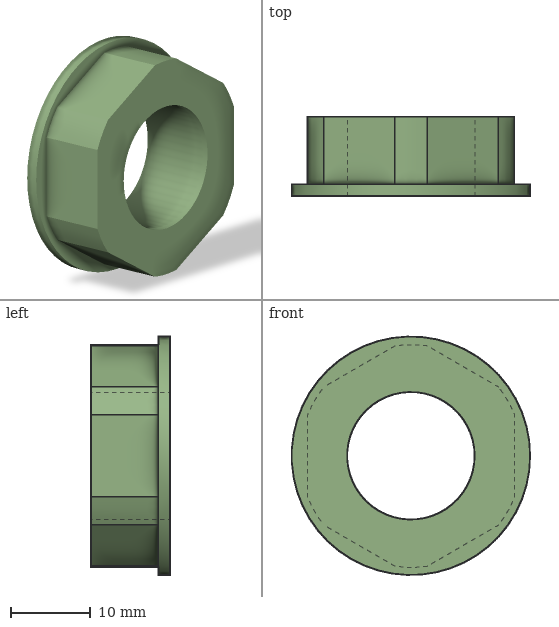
import cadquery as cq
import math

flange_diameter = 30.0
flange_thickness = 1.5
total_length = 10.0
bore_diameter = 16.0
hex_across_flats = 26.0
hex_corner_diameter = 28.0

body_length = total_length - flange_thickness
hex_sharp_diameter = hex_across_flats / math.cos(math.radians(30))
turn_to_vertical = 90


def plane_at(y):
    """Sketch plane across the part axis; negative extrusion runs toward +Y."""
    return cq.Workplane("XZ", origin=(0, y, 0))


def make_flange():
    return plane_at(0).circle(flange_diameter / 2).extrude(-flange_thickness)


def make_hex_body():
    hexagon = plane_at(flange_thickness).polygon(6, hex_sharp_diameter).extrude(-body_length)
    hexagon = hexagon.rotate((0, 0, 0), (0, 1, 0), turn_to_vertical)
    turned_blank = plane_at(flange_thickness).circle(hex_corner_diameter / 2).extrude(-body_length)
    return hexagon.intersect(turned_blank)


def make_bore():
    return plane_at(0).circle(bore_diameter / 2).extrude(-total_length)


result = make_flange().union(make_hex_body()).cut(make_bore())